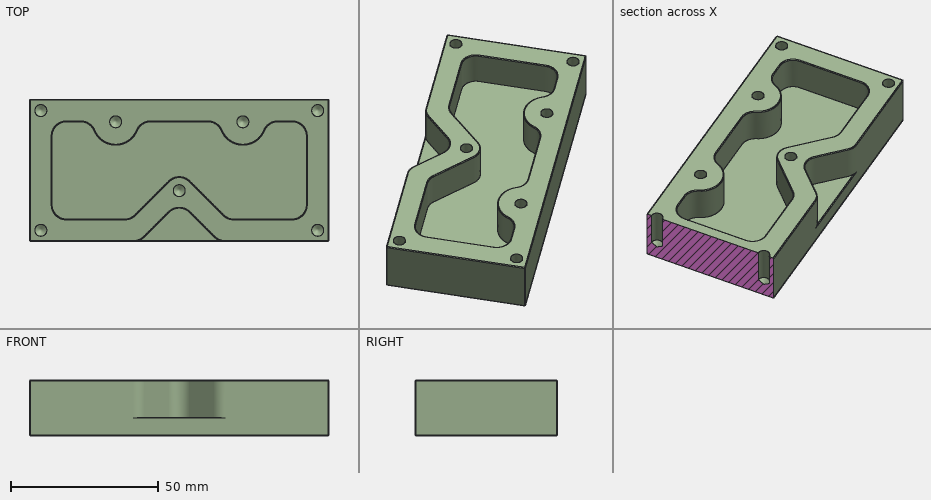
import cadquery as cq
import math

INCH = 25.4

LENGTH = 4.0 * INCH
WIDTH = 1.9 * INCH
HEIGHT = 0.75 * INCH
EDGE_BREAK = 0.3

WALL = 0.3 * INCH
CUT_DEPTH = 0.5 * INCH
CUTTER_RADIUS = 4.9
OUTSIDE_RADIUS = 0.2 * INCH
NOTCH_HALF_WIDTH = 13.35

HOLE_DIAMETER = 0.16 * INCH
HOLE_DEPTH = 0.5 * INCH
DRILL_POINT_ANGLE = 118.0
CORNER_HOLE_INSET = 0.15 * INCH
BOSS_OFFSET = 0.85 * INCH
BOSS_RADIUS = 0.3125 * INCH
RIB_HOLE_FROM_FRONT = 0.68 * INCH

FLOOR_Z = HEIGHT - CUT_DEPTH
FRONT_Y = -WIDTH / 2
POCKET_X = LENGTH / 2 - WALL
POCKET_BACK_Y = WIDTH / 2 - WALL
POCKET_FRONT_Y = FRONT_Y + WALL
BOSS_CENTERS = [(-BOSS_OFFSET, POCKET_BACK_Y), (BOSS_OFFSET, POCKET_BACK_Y)]
RIB_APEX_Y = FRONT_Y + NOTCH_HALF_WIDTH + WALL * math.sqrt(2)
RIB_HALF_WIDTH = RIB_APEX_Y - POCKET_FRONT_Y
NOTCH_APEX_Y = FRONT_Y + NOTCH_HALF_WIDTH


def upright_edges_near(points):
    """Select the vertical edges that stand at the given (x, y) points."""
    reach = 0.01
    selector = None
    for x, y in points:
        column = cq.selectors.BoxSelector(
            (x - reach, y - reach, 0), (x + reach, y + reach, HEIGHT)
        )
        selector = column if selector is None else selector + column
    return selector


def make_block():
    block = cq.Workplane("XY").box(LENGTH, WIDTH, HEIGHT, centered=(True, True, False))
    return block.edges("|Z").chamfer(EDGE_BREAK)


def make_pocket():
    """Pocket volume: a rectangle with two round bosses and a 45 degree rib left standing."""
    rib_apex = (0, RIB_APEX_Y)
    outline = [
        (-POCKET_X, POCKET_FRONT_Y),
        (-RIB_HALF_WIDTH, POCKET_FRONT_Y),
        rib_apex,
        (RIB_HALF_WIDTH, POCKET_FRONT_Y),
        (POCKET_X, POCKET_FRONT_Y),
        (POCKET_X, POCKET_BACK_Y),
        (-POCKET_X, POCKET_BACK_Y),
    ]
    inside_corners = [point for point in outline if point != rib_apex]
    for x, y in BOSS_CENTERS:
        inside_corners += [(x - BOSS_RADIUS, y), (x + BOSS_RADIUS, y)]

    base = cq.Workplane("XY").workplane(offset=FLOOR_Z)
    bosses = base.pushPoints(BOSS_CENTERS).circle(BOSS_RADIUS).extrude(CUT_DEPTH)
    pocket = base.polyline(outline).close().extrude(CUT_DEPTH).cut(bosses)
    pocket = pocket.edges(upright_edges_near(inside_corners)).fillet(CUTTER_RADIUS)
    return pocket.edges(upright_edges_near([rib_apex])).fillet(OUTSIDE_RADIUS)


def cut_notch(body):
    """Cut the V notch in the front face and round its apex and mouth."""
    mouth = [(-NOTCH_HALF_WIDTH, FRONT_Y), (NOTCH_HALF_WIDTH, FRONT_Y)]
    apex = (0, NOTCH_APEX_Y)
    base = cq.Workplane("XY").workplane(offset=FLOOR_Z)
    notch = base.polyline(mouth + [apex]).close().extrude(CUT_DEPTH)
    body = body.cut(notch)
    body = body.edges(upright_edges_near([apex])).fillet(CUTTER_RADIUS)
    return body.edges(upright_edges_near(mouth)).fillet(OUTSIDE_RADIUS)


def break_edges(body):
    """Chamfer every edge of the top and bottom faces and the front edge of the notch floor."""
    body = body.faces(">Z").edges().chamfer(EDGE_BREAK)
    body = body.faces("<Z").edges().chamfer(EDGE_BREAK)
    notch_floor_edge = cq.selectors.NearestToPointSelector((0, FRONT_Y, FLOOR_Z))
    return body.edges(notch_floor_edge).chamfer(EDGE_BREAK)


def make_drill(x, y):
    """Drill volume with a conical point, entering from the top face."""
    radius = HOLE_DIAMETER / 2
    point_length = radius / math.tan(math.radians(DRILL_POINT_ANGLE / 2))
    shoulder_z = HEIGHT - HOLE_DEPTH
    profile = [(0, HEIGHT), (radius, HEIGHT), (radius, shoulder_z), (0, shoulder_z - point_length)]
    drill = cq.Workplane("XZ").polyline(profile).close().revolve(360, (0, 0), (0, 1))
    return drill.translate((x, y, 0))


def drill_holes(body):
    corner_x = LENGTH / 2 - CORNER_HOLE_INSET
    corner_y = WIDTH / 2 - CORNER_HOLE_INSET
    corners = [(sx * corner_x, sy * corner_y) for sx in (-1, 1) for sy in (-1, 1)]
    rib_hole = (0, FRONT_Y + RIB_HOLE_FROM_FRONT)
    for x, y in corners + BOSS_CENTERS + [rib_hole]:
        body = body.cut(make_drill(x, y))
    return body


result = make_block().cut(make_pocket())
result = cut_notch(result)
result = break_edges(result)
result = drill_holes(result)